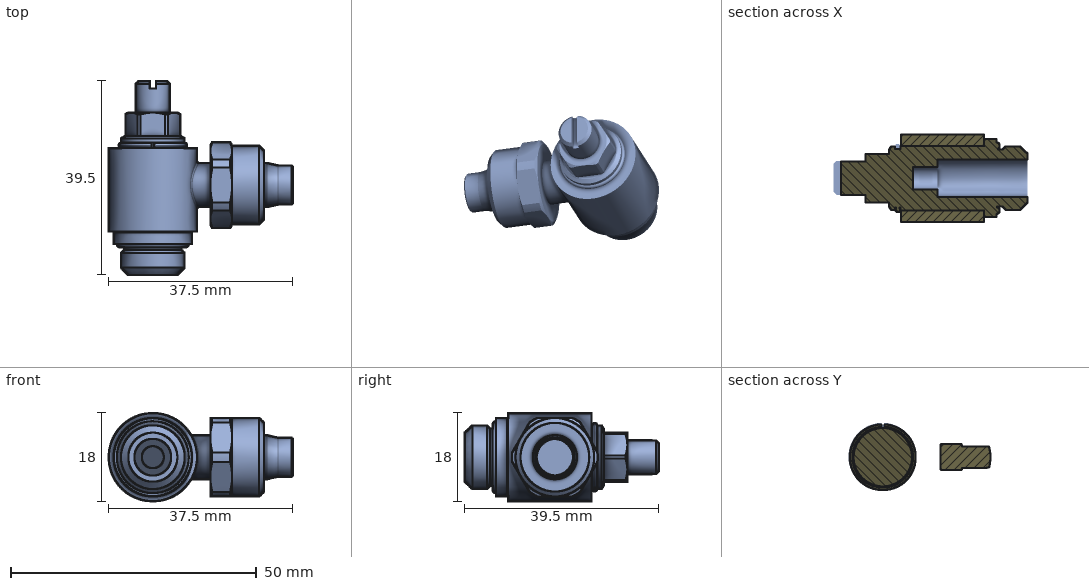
import cadquery as cq
import math


barrel_radius = 9.0
barrel_top = 7.5
barrel_bottom = -9.5
journal_radius = 6.5

neck_radius = 4.5
neck_fillet = 0.35
nut_start = 11.7
nut_hex_end = 16.15
nut_end = 22.65
nut_across_flats = 16.0
nut_corner_radius = 8.75
nut_hex_chamfer_length = 0.4
nut_radius = nut_across_flats / 2
nut_chamfer = 1.0
collet_radius = 4.5
collet_taper_start = 23.25
collet_taper_end = 25.5
collet_tip_radius = 4.0
collet_end = 28.5
collet_edge_chamfer = 0.3

collar_radius = 8.0
collar_gap = 0.2
collar_top = barrel_bottom - collar_gap
collar_bottom = -12.0
collar_gap_radius = 7.9
undercut_radius = 5.85
undercut_bottom = -13.2
thread_radius = 6.5
thread_start = -13.85
thread_end = -16.8
bolt_bottom = -18.36
bolt_bottom_radius = 5.0

seal_outer_radius = 7.33
seal_section_radius = (seal_outer_radius - undercut_radius) / 2
seal_center_radius = undercut_radius + seal_section_radius
seal_center_y = -11.95

ring_section_radius = 0.52
ring_outer_radius = 6.95
ring_center_radius = ring_outer_radius - ring_section_radius
ring_seat_depth = 0.1
ring_groove_radius = ring_center_radius - ring_section_radius + ring_seat_depth
ring_standoff = 0.07
ring_center_y = barrel_top + ring_standoff + ring_section_radius
ring_groove_clearance = 0.04
ring_split_width = 0.5

flange_radius = 6.5
flange_top_radius = 5.7
flange_chamfer_start = 9.5
flange_top = 9.95
hex_top = 14.75
hex_across_flats = 10.0
hex_corner_radius = 5.6
hex_chamfer_length = 0.35
stem_radius = 3.5
stem_chamfer = 0.6
bolt_top = 21.15
slot_width = 1.2
slot_depth = 1.45

bore_radius = 3.75
bore_end = 0.0
inner_bore_radius = 2.25
inner_bore_end = 5.0


def turned_about_x(points):
    """Solid of revolution about X from (x, radius) points."""
    return cq.Workplane("XY").polyline(points).close().revolve(360, (0, 0, 0), (1, 0, 0))


def turned_about_y(points):
    """Solid of revolution about Y from (radius, y) points."""
    return cq.Workplane("XY").polyline(points).close().revolve(360, (0, 0, 0), (0, 1, 0))


def torus_about_y(center_radius, section_radius, center_y):
    """Round-section ring about Y."""
    section = cq.Workplane("XY").center(center_radius, center_y).circle(section_radius)
    return section.revolve(360, (-center_radius, 0, 0), (-center_radius, 1, 0))


def hex_diameter(across_flats):
    return across_flats / math.cos(math.pi / 6)


def make_barrel():
    barrel = cq.Workplane("XZ", origin=(0, barrel_top, 0)).circle(barrel_radius)
    return barrel.extrude(barrel_top - barrel_bottom)


def make_nut_hexagon():
    """Hexagon with flats facing +Z and -Z, its corners turned down and chamfered at both ends."""
    length = nut_hex_end - nut_start
    hexagon = (
        cq.Workplane("YZ", origin=(nut_start, 0, 0))
        .polygon(6, hex_diameter(nut_across_flats))
        .extrude(length)
    )
    envelope = turned_about_x([
        (nut_start, 0),
        (nut_start, nut_radius),
        (nut_start + nut_hex_chamfer_length, nut_corner_radius),
        (nut_hex_end - nut_hex_chamfer_length, nut_corner_radius),
        (nut_hex_end, nut_radius),
        (nut_hex_end, 0),
    ])
    return hexagon.intersect(envelope)


def make_nut_sleeve_and_collet():
    return turned_about_x([
        (nut_hex_end, 0),
        (nut_hex_end, nut_radius),
        (nut_end - nut_chamfer, nut_radius),
        (nut_end, nut_radius - nut_chamfer),
        (nut_end, collet_radius),
        (collet_taper_start, collet_radius),
        (collet_taper_end, collet_tip_radius),
        (collet_end - collet_edge_chamfer, collet_tip_radius),
        (collet_end, collet_tip_radius - collet_edge_chamfer),
        (collet_end, 0),
    ])


def make_housing():
    neck = cq.Workplane("YZ").circle(neck_radius).extrude(nut_start)
    body = make_barrel().union(neck)
    reach = 1.2 * neck_radius
    joint = cq.selectors.BoxSelector(
        (barrel_radius / 2, -reach, -reach),
        ((barrel_radius + nut_start) / 2, reach, reach),
    )
    body = body.edges(joint).fillet(neck_fillet)
    body = body.union(make_nut_hexagon()).union(make_nut_sleeve_and_collet())
    bore = cq.Workplane("XZ", origin=(0, barrel_top, 0)).circle(journal_radius)
    return body.cut(bore.extrude(barrel_top - barrel_bottom))


def make_bolt_core():
    """Turned bolt from the screw end up to the top of the flange."""
    groove_top = ring_center_y + ring_section_radius + ring_groove_clearance
    groove_bottom = ring_center_y - ring_section_radius
    return turned_about_y([
        (0, bolt_bottom),
        (bolt_bottom_radius, bolt_bottom),
        (thread_radius, thread_end),
        (thread_radius, thread_start),
        (undercut_radius, undercut_bottom),
        (undercut_radius, collar_bottom),
        (collar_radius, collar_bottom),
        (collar_radius, collar_top),
        (collar_gap_radius, collar_top),
        (collar_gap_radius, barrel_bottom),
        (journal_radius, barrel_bottom),
        (journal_radius, groove_bottom),
        (ring_groove_radius, groove_bottom),
        (ring_groove_radius, groove_top),
        (flange_radius, groove_top),
        (flange_radius, flange_chamfer_start),
        (flange_top_radius, flange_top),
        (0, flange_top),
    ])


def make_retaining_ring():
    """Ring sunk slightly into the groove floor so that it joins the bolt, split on the +Z side."""
    ring = torus_about_y(ring_center_radius, ring_section_radius, ring_center_y)
    split_length = 4 * ring_section_radius
    split = cq.Workplane("XY", origin=(0, ring_center_y, 0)).rect(ring_split_width, split_length)
    return ring.cut(split.extrude(barrel_radius))


def make_bolt_hexagon():
    """Hexagon with flats facing +Z and -Z, its corners turned down and chamfered on top."""
    hexagon = (
        cq.Workplane("XZ", origin=(0, hex_top, 0))
        .polygon(6, hex_diameter(hex_across_flats))
        .extrude(hex_top - flange_top)
    )
    envelope = turned_about_y([
        (0, flange_top),
        (hex_corner_radius, flange_top),
        (hex_corner_radius, hex_top - hex_chamfer_length),
        (hex_across_flats / 2, hex_top),
        (0, hex_top),
    ])
    return hexagon.intersect(envelope)


def make_slotted_stem():
    stem = turned_about_y([
        (0, hex_top),
        (stem_radius, hex_top),
        (stem_radius, bolt_top - stem_chamfer),
        (stem_radius - stem_chamfer, bolt_top),
        (0, bolt_top),
    ])
    slot = cq.Workplane("XY").box(slot_width, 2 * slot_depth, 2 * stem_radius)
    return stem.cut(slot.translate((0, bolt_top, 0)))


def make_bolt_bore():
    return turned_about_y([
        (0, bolt_bottom),
        (bore_radius, bolt_bottom),
        (bore_radius, bore_end),
        (inner_bore_radius, bore_end),
        (inner_bore_radius, inner_bore_end),
        (0, inner_bore_end),
    ])


def make_bolt():
    bolt = make_bolt_core().union(make_bolt_hexagon()).union(make_slotted_stem())
    bolt = bolt.union(torus_about_y(seal_center_radius, seal_section_radius, seal_center_y))
    bolt = bolt.union(make_retaining_ring())
    return bolt.cut(make_bolt_bore())


housing = make_housing()
bolt = make_bolt()

result = cq.Compound.makeCompound([housing.val(), bolt.val()])